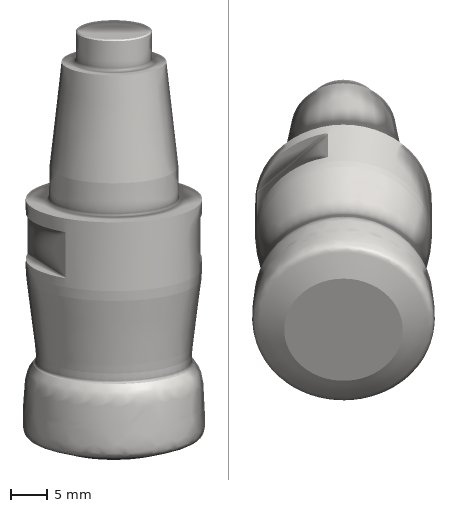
import cadquery as cq

total_height = 58.9
cap_top = 11.6
neck_bottom = 13.0
taper_bottom = 14.25
taper_top = 23.65
collar_bottom = 25.1
collar_top = 34.85
sleeve_bend = 39.5
sleeve_top = 54.4

peg_radius = 10.4 / 2
sleeve_top_radius = 7.2
sleeve_bend_radius = 8.85
sleeve_base_radius = 8.9
collar_radius = 24.2 / 2
taper_top_radius = 12.0
taper_bottom_radius = 10.85
neck_radius = 10.7

peg_chamfer = 0.2
peg_fillet = 0.5
sleeve_fillet = 0.35
neck_fillet = 0.35

flats_width = 20.0
flat_bottom = 26.4
flat_height = 6.55
flat_corner_fillet = 0.2

cap_floor_radius = 8.1
cap_rim_radius = 11.1
cap_rim_height = 1.0
cap_corner_radius = 12.2
cap_corner_height = 1.65
cap_max_radius = 12.5
cap_max_height = 2.7
cap_wall_mid_radius = 12.35
cap_wall_mid_height = 6.8
cap_shoulder_radius = 12.0
cap_shoulder_height = 9.9
cap_crown_radius = 11.65
cap_crown_height = 10.8
cap_top_radius = neck_radius + neck_fillet


def make_housing_blank():
    """Revolve the stepped and tapered outline about Z."""
    profile = (
        cq.Workplane("XZ")
        .moveTo(0, cap_top)
        .lineTo(neck_radius + neck_fillet, cap_top)
        .radiusArc((neck_radius, cap_top + neck_fillet), neck_fillet)
        .lineTo(neck_radius, neck_bottom)
        .lineTo(taper_bottom_radius, taper_bottom)
        .lineTo(taper_top_radius, taper_top)
        .lineTo(collar_radius, collar_bottom)
        .lineTo(collar_radius, collar_top)
        .lineTo(sleeve_base_radius + sleeve_fillet, collar_top)
        .radiusArc((sleeve_base_radius, collar_top + sleeve_fillet), sleeve_fillet)
        .lineTo(sleeve_bend_radius, sleeve_bend)
        .lineTo(sleeve_top_radius, sleeve_top)
        .lineTo(peg_radius + peg_fillet, sleeve_top)
        .radiusArc((peg_radius, sleeve_top + peg_fillet), peg_fillet)
        .lineTo(peg_radius, total_height - peg_chamfer)
        .lineTo(peg_radius - peg_chamfer, total_height)
        .lineTo(0, total_height)
        .close()
    )
    return profile.revolve(360, (0, 0, 0), (0, 1, 0))


def make_flat_cutter(side):
    """Make the block that cuts one wrench flat with rounded root corners; side is -1 or +1 along Y."""
    cut_depth = collar_radius - flats_width / 2
    block_depth = 2 * cut_depth
    return (
        cq.Workplane("XY")
        .workplane(offset=flat_bottom)
        .center(0, side * (flats_width + block_depth) / 2)
        .rect(2 * collar_radius, block_depth)
        .extrude(flat_height)
        .faces("<Y" if side > 0 else ">Y")
        .edges("|X")
        .fillet(flat_corner_fillet)
    )


def make_housing():
    housing = make_housing_blank()
    for side in (-1, 1):
        housing = housing.cut(make_flat_cutter(side))
    return housing


def make_end_cap():
    """Revolve the bulged cap: a smooth curve runs from the floor to the neck."""
    cap_side = [
        (cap_rim_radius, cap_rim_height),
        (cap_corner_radius, cap_corner_height),
        (cap_max_radius, cap_max_height),
        (cap_wall_mid_radius, cap_wall_mid_height),
        (cap_shoulder_radius, cap_shoulder_height),
        (cap_crown_radius, cap_crown_height),
        (cap_top_radius, cap_top),
    ]
    rim_direction = (cap_rim_radius - cap_floor_radius, cap_rim_height)
    crown_direction = (cap_top_radius - cap_crown_radius, cap_top - cap_crown_height)
    profile = (
        cq.Workplane("XZ")
        .lineTo(cap_floor_radius, 0)
        .spline(cap_side, tangents=[rim_direction, crown_direction], includeCurrent=True)
        .lineTo(0, cap_top)
        .close()
    )
    return profile.revolve(360, (0, 0, 0), (0, 1, 0))


housing = make_housing()
end_cap = make_end_cap()

result = cq.Compound.makeCompound([housing.val(), end_cap.val()])